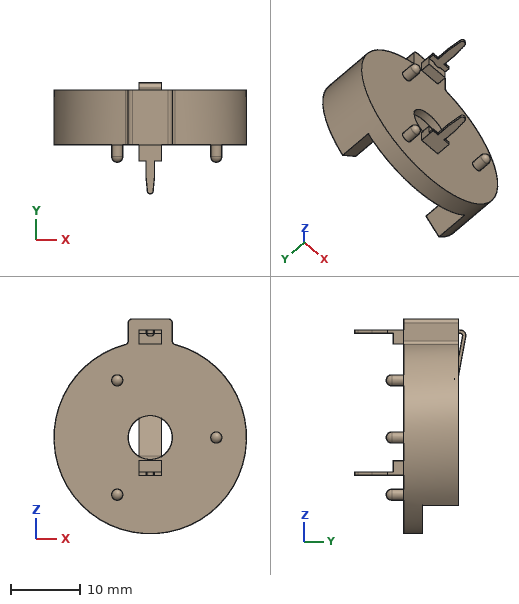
import cadquery as cq
import math

body_radius = 13.87
body_depth = 7.93
floor_thickness = 1.25
pocket_radius = 10.12
centre_hole_radius = 3.15

opening_half_angle = 45
lip_depth = 2.72

tab_half_width = 3.2
tab_top = 17.1
tab_corner_radius = 0.62
tab_root_radius = 0.5

peg_radius = 0.8
peg_length = 2.5
peg_circle_radius = 9.5
peg_angles = (0, 120, 240)

strip_width = 3.28
half_strip = strip_width / 2
strip_thickness = 0.5
shoulder_length = 2.32
pin_width = 1.27
pin_half_width = pin_width / 2
pin_tip_half_width = 0.43
pin_taper_start = 4.55
pin_taper_end = 6.6
pin_length = 7.05
upper_strip_top = 15.48
lower_strip_bottom = -5.45

block_depth = 1.52
upper_block_bottom = 13.45
lower_block_top = -3.3

groove_radius = 0.65
groove_centre_height = upper_strip_top - strip_thickness / 2

spring_lead = 0.25
spring_outer_radius = 0.8
spring_slope = math.radians(10.5)
spring_knee_height = -2.65
spring_tail_length = 1.55


def along_y(start):
    """Workplane in X and Z at a given Y; a negative extrusion runs towards +Y."""
    return cq.Workplane("XZ", origin=(0, start, 0))


def cylinder_y(radius, start, end):
    return along_y(start).circle(radius).extrude(start - end)


def box_between(half_width, y_range, z_range):
    """Box centred on X = 0 between two Y and two Z values."""
    size_y = y_range[1] - y_range[0]
    size_z = z_range[1] - z_range[0]
    corner = (-half_width, y_range[0], z_range[0])
    return cq.Workplane("XY").box(2 * half_width, size_y, size_z, centered=False).translate(corner)


def make_body():
    disc = cylinder_y(body_radius, 0, body_depth)
    tab = box_between(tab_half_width, (0, body_depth), (0, tab_top))
    tab = tab.edges("|Y and >Z").fillet(tab_corner_radius)
    root_height = math.sqrt(body_radius**2 - tab_half_width**2)
    body = disc.union(tab)
    for side in (-1, 1):
        root = cq.selectors.NearestToPointSelector((side * tab_half_width, body_depth / 2, root_height))
        body = body.edges("|Y").edges(root).fillet(tab_root_radius)

    pocket = cylinder_y(pocket_radius, floor_thickness, body_depth)
    centre_hole = cylinder_y(centre_hole_radius, 0, body_depth)
    return body.cut(pocket).cut(centre_hole).cut(make_rim_opening())


def make_rim_opening():
    reach = 2 * body_radius
    half_span = reach * math.tan(math.radians(opening_half_angle))
    sector = along_y(lip_depth).polyline([(0, 0), (half_span, -reach), (-half_span, -reach)]).close()
    return sector.extrude(lip_depth - body_depth)


def make_peg(angle):
    """Round peg with a hemispherical end."""
    x = peg_circle_radius * math.cos(math.radians(angle))
    z = peg_circle_radius * math.sin(math.radians(angle))
    dome_centre = peg_radius - peg_length
    shank = cylinder_y(peg_radius, dome_centre, floor_thickness)
    dome = cq.Workplane("XY").sphere(peg_radius).translate((0, dome_centre, 0))
    return shank.union(dome).translate((x, 0, z))


def make_pin(bottom, back):
    """Flat strip from a given Y to the front, narrowed to a tapered, rounded solder pin."""
    outline = (
        cq.Workplane("XY", origin=(0, 0, bottom))
        .moveTo(-half_strip, back)
        .lineTo(-half_strip, -shoulder_length)
        .lineTo(-pin_half_width, -shoulder_length)
        .lineTo(-pin_half_width, -pin_taper_start)
        .lineTo(-pin_tip_half_width, -pin_taper_end)
        .threePointArc((0, -pin_length), (pin_tip_half_width, -pin_taper_end))
        .lineTo(pin_half_width, -pin_taper_start)
        .lineTo(pin_half_width, -shoulder_length)
        .lineTo(half_strip, -shoulder_length)
        .lineTo(half_strip, back)
        .close()
    )
    return outline.extrude(strip_thickness)


def make_spring():
    """Strip leaving the back of the tab, bent over and sloping down to a short upright tail."""
    centre_y = body_depth + spring_lead
    centre_z = upper_strip_top - spring_outer_radius
    inner_radius = spring_outer_radius - strip_thickness

    def on_bend(radius, angle):
        return (centre_y + radius * math.cos(angle), centre_z + radius * math.sin(angle))

    bend_middle = (math.pi / 2 - spring_slope) / 2
    outer_end = on_bend(spring_outer_radius, -spring_slope)
    inner_end = on_bend(inner_radius, -spring_slope)

    inner_knee_y = inner_end[0] - (inner_end[1] - spring_knee_height) * math.tan(spring_slope)
    outer_knee_y = inner_knee_y + strip_thickness
    outer_knee_z = spring_knee_height - strip_thickness * math.tan(spring_slope / 2)
    tail_end = spring_knee_height - spring_tail_length

    profile = (
        cq.Workplane("YZ", origin=(-half_strip, 0, 0))
        .moveTo(body_depth, upper_strip_top)
        .lineTo(centre_y, upper_strip_top)
        .threePointArc(on_bend(spring_outer_radius, bend_middle), outer_end)
        .lineTo(outer_knee_y, outer_knee_z)
        .lineTo(outer_knee_y, tail_end)
        .lineTo(inner_knee_y, tail_end)
        .lineTo(inner_knee_y, spring_knee_height)
        .lineTo(*inner_end)
        .threePointArc(on_bend(inner_radius, bend_middle), (centre_y, upper_strip_top - strip_thickness))
        .lineTo(body_depth, upper_strip_top - strip_thickness)
        .close()
    )
    return profile.extrude(strip_width)


def make_groove():
    """Part of a round bore that lies below the top of the upper strip."""
    bore = cylinder_y(groove_radius, -block_depth, body_depth).translate((0, 0, groove_centre_height))
    below_strip_top = box_between(
        groove_radius,
        (-block_depth, body_depth),
        (groove_centre_height - groove_radius, upper_strip_top),
    )
    return bore.intersect(below_strip_top)


upper_strip_bottom = upper_strip_top - strip_thickness
lower_strip_top = lower_strip_bottom + strip_thickness

housing = make_body()
for peg_angle in peg_angles:
    housing = housing.union(make_peg(peg_angle))

block_span = (-block_depth, floor_thickness)
housing = housing.union(box_between(half_strip, block_span, (upper_block_bottom, upper_strip_bottom)))
housing = housing.union(box_between(half_strip, block_span, (lower_strip_top, lower_block_top)))

housing = housing.cut(make_groove())

result = (
    housing.union(make_pin(upper_strip_bottom, body_depth))
    .union(make_pin(lower_strip_bottom, floor_thickness))
    .union(make_spring())
)